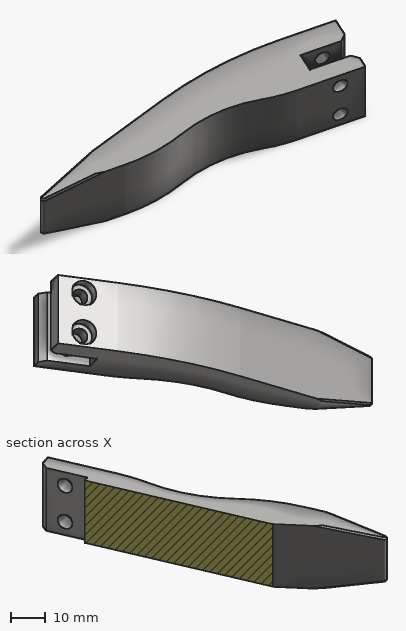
import cadquery as cq
import math

length = 105.19
width = 25.2
height = 21.0
shank_width = 20.0

outer_straight = 18.2
outer_radius = 120.5
tip_radius = 1.0

inner_straight = 21.8
neck_in_radius = 50.0
waist_radius = 45.0
belly_radius = 53.0
belly_angle = math.radians(22.3)

slot_start = 8.0
slot_width = 6.3
slot_depth = 15.0
slot_chamfer = 2.0

hole_diameter = 4.6
counterbore_diameter = 7.4
counterbore_depth = 3.5
hole_setback = 8.0
hole_spacing = 12.0

taper_start = 88.0
taper_drop = 3.2
tip_chamfer = 0.5


def polar(center, radius, angle):
    """Point on a circle at an angle measured from +X."""
    return (center[0] + radius * math.cos(angle), center[1] + radius * math.sin(angle))


def flank_normal_angle(arc_center, tip_center):
    """Direction of the outward normal of the flank tangent to the outer arc and the tip round."""
    dx = tip_center[0] - arc_center[0]
    dy = tip_center[1] - arc_center[1]
    centers_angle = 2 * math.pi + math.atan2(dy, dx)
    return centers_angle - math.acos((outer_radius - tip_radius) / math.hypot(dx, dy))


def finger_body():
    """Curved finger outline extruded over the full height."""
    arc_center = (outer_radius, -outer_straight)
    tip_center = (width - tip_radius, tip_radius - length)
    flank = flank_normal_angle(arc_center, tip_center)

    belly_gain = (waist_radius + belly_radius) * (1 - math.cos(belly_angle))
    neck_loss = belly_gain - (width - shank_width)
    neck_angle = math.acos(1 - neck_loss / (neck_in_radius + waist_radius))

    neck_center = (shank_width - neck_in_radius, -inner_straight)
    waist_center = polar(neck_center, neck_in_radius + waist_radius, -neck_angle)
    belly_center = polar(waist_center, -(waist_radius + belly_radius), belly_angle)

    return (
        cq.Workplane("XY")
        .moveTo(0, 0)
        .lineTo(0, -outer_straight)
        .threePointArc(
            polar(arc_center, outer_radius, (math.pi + flank) / 2),
            polar(arc_center, outer_radius, flank),
        )
        .lineTo(*polar(tip_center, tip_radius, flank))
        .threePointArc(polar(tip_center, tip_radius, -math.pi / 2), (width, tip_center[1]))
        .lineTo(width, belly_center[1])
        .threePointArc(
            polar(belly_center, belly_radius, belly_angle / 2),
            polar(belly_center, belly_radius, belly_angle),
        )
        .threePointArc(
            polar(waist_center, waist_radius, math.pi),
            polar(waist_center, waist_radius, math.pi - neck_angle),
        )
        .threePointArc(
            polar(neck_center, neck_in_radius, -neck_angle / 2),
            (shank_width, -inner_straight),
        )
        .lineTo(shank_width, 0)
        .close()
        .extrude(height)
    )


def fork_slot():
    """Slot through the fork end, with a chamfered mouth."""
    slot_end = slot_start + slot_width
    return (
        cq.Workplane("XY")
        .moveTo(slot_start - slot_chamfer, 0)
        .lineTo(slot_start, -slot_chamfer)
        .lineTo(slot_start, -slot_depth)
        .lineTo(slot_end, -slot_depth)
        .lineTo(slot_end, -slot_chamfer)
        .lineTo(slot_end + slot_chamfer, 0)
        .close()
        .extrude(height)
    )


def screw_hole(z):
    """Counterbored hole along X through both fork arms."""
    hole_plane = cq.Workplane("YZ").center(-hole_setback, z)
    bore = hole_plane.circle(hole_diameter / 2).extrude(shank_width)
    counterbore = hole_plane.circle(counterbore_diameter / 2).extrude(counterbore_depth)
    return bore.union(counterbore)


def top_taper():
    """Wedge removed from the top of the tip."""
    return (
        cq.Workplane("YZ")
        .moveTo(-taper_start, height)
        .lineTo(-length, height)
        .lineTo(-length, height - taper_drop)
        .close()
        .extrude(width)
    )


def chamfer_tapers(body):
    """Chamfer the outer edges of both tapered faces."""
    tip_region = cq.selectors.BoxSelector((0, -length, 0), (width, -taper_start, height))
    slanted = body.faces(tip_region).faces("not(#Z)")
    return slanted.edges("not(|X)").chamfer(tip_chamfer)


body = finger_body().cut(fork_slot())
for side in (-1, 1):
    body = body.cut(screw_hole(height / 2 + side * hole_spacing / 2))
taper = top_taper()
body = body.cut(taper).cut(taper.mirror("XY", (0, 0, height / 2)))
result = chamfer_tapers(body)